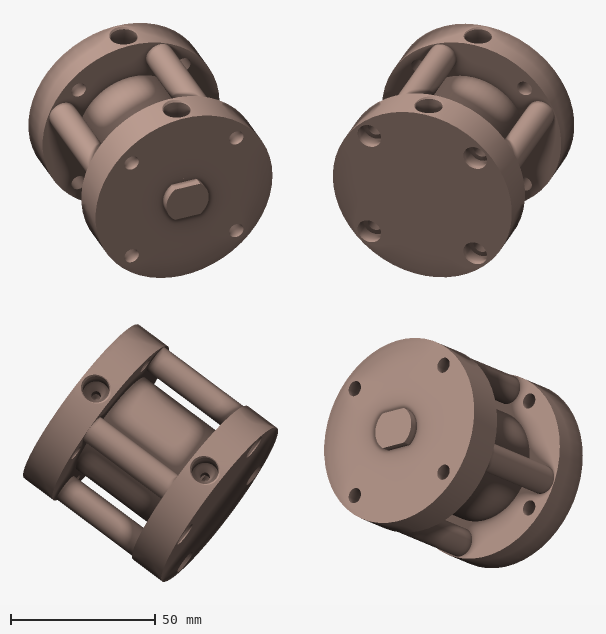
import cadquery as cq
import math


HEAD_DIAMETER = 66.55
HEAD_RADIUS = HEAD_DIAMETER / 2
HEAD_THICKNESS = 12.8
HEAD_GAP = 34.95
ROD_HEAD_X = HEAD_THICKNESS + HEAD_GAP
ROD_HEAD_END_X = ROD_HEAD_X + HEAD_THICKNESS

PITCH_RADIUS = 27.8
PITCH_COUNT = 4
PITCH_STEP_ANGLE = 360.0 / PITCH_COUNT
BOLT_START_ANGLE = 45.0
BOLT_HOLE_DIAMETER = 5.45
COUNTERBORE_DIAMETER = 8.8
COUNTERBORE_DEPTH = 5.6
POST_START_ANGLE = 67.5
POST_DIAMETER = 10.1

BARREL_DIAMETER = 39.7
BARREL_SEAT_DEPTH = 5.5

ROD_DIAMETER = 15.9
ROD_PROJECTION = 3.25
ROD_ACROSS_FLATS = 12.8

PORT_DIAMETER = 9.45
PORT_DEPTH = 8.0
PORT_CHAMFER = 0.65
PILOT_DIAMETER = 3.3
PILOT_DEPTH = 14.0
DRILL_POINT_ANGLE = 118.0


def x_cylinder(diameter, x_start, length, y=0.0, z=0.0):
    """Solid cylinder along +X."""
    plane = cq.Plane(origin=(x_start, y, z), xDir=(0, 1, 0), normal=(1, 0, 0))
    return cq.Workplane(plane).circle(diameter / 2).extrude(length)


def pitch_points(start_angle):
    """The (y, z) places spaced evenly round the pitch circle."""
    angles = [math.radians(start_angle + i * PITCH_STEP_ANGLE) for i in range(PITCH_COUNT)]
    return [(PITCH_RADIUS * math.cos(a), PITCH_RADIUS * math.sin(a)) for a in angles]


def drill_point_length(diameter):
    return diameter / 2 / math.tan(math.radians(DRILL_POINT_ANGLE / 2))


def port_cutter(x_center):
    """Chamfered port and its narrower pilot, both with drill points, as one turned solid."""
    port_radius = PORT_DIAMETER / 2
    pilot_radius = PILOT_DIAMETER / 2
    shoulder_z = HEAD_RADIUS - PORT_DEPTH
    shoulder_drop = drill_point_length(PORT_DIAMETER) - drill_point_length(PILOT_DIAMETER)
    pilot_end_z = HEAD_RADIUS - PILOT_DEPTH
    profile = (
        cq.Workplane("XZ")
        .moveTo(0, HEAD_RADIUS)
        .lineTo(port_radius + PORT_CHAMFER, HEAD_RADIUS)
        .lineTo(port_radius, HEAD_RADIUS - PORT_CHAMFER)
        .lineTo(port_radius, shoulder_z)
        .lineTo(pilot_radius, shoulder_z - shoulder_drop)
        .lineTo(pilot_radius, pilot_end_z)
        .lineTo(0, pilot_end_z - drill_point_length(PILOT_DIAMETER))
        .close()
    )
    return profile.revolve(360, (0, 0, 0), (0, 1, 0)).translate((x_center, 0, 0))


def make_head(x_start, seat_x):
    """Round head with bolt holes, a barrel seat and a port; seat_x is where the seat starts."""
    head = x_cylinder(HEAD_DIAMETER, x_start, HEAD_THICKNESS)
    head = head.cut(x_cylinder(BARREL_DIAMETER, seat_x, BARREL_SEAT_DEPTH))
    for y, z in pitch_points(BOLT_START_ANGLE):
        head = head.cut(x_cylinder(BOLT_HOLE_DIAMETER, x_start, HEAD_THICKNESS, y, z))
    return head.cut(port_cutter(x_start + HEAD_THICKNESS / 2))


def make_blind_head():
    """Closed head, counterbored on its outer face for the bolt heads."""
    head = make_head(0, HEAD_THICKNESS - BARREL_SEAT_DEPTH)
    for y, z in pitch_points(BOLT_START_ANGLE):
        head = head.cut(x_cylinder(COUNTERBORE_DIAMETER, 0, COUNTERBORE_DEPTH, y, z))
    return head


def make_rod_head():
    """Head with a central hole for the piston rod."""
    head = make_head(ROD_HEAD_X, ROD_HEAD_X)
    return head.cut(x_cylinder(ROD_DIAMETER, ROD_HEAD_X, HEAD_THICKNESS))


def make_barrel():
    """Cylinder body reaching to the bottom of both seats."""
    barrel_length = HEAD_GAP + 2 * BARREL_SEAT_DEPTH
    return x_cylinder(BARREL_DIAMETER, HEAD_THICKNESS - BARREL_SEAT_DEPTH, barrel_length)


def make_piston_rod():
    """Rod from the barrel end to outside the head, with flats on the part outside."""
    rod_start_x = ROD_HEAD_X + BARREL_SEAT_DEPTH
    shank = x_cylinder(ROD_DIAMETER, rod_start_x, ROD_HEAD_END_X - rod_start_x)
    flat_band = cq.Workplane("XY").box(
        ROD_PROJECTION, ROD_DIAMETER, ROD_ACROSS_FLATS, centered=(False, True, True)
    ).translate((ROD_HEAD_END_X, 0, 0))
    tip = x_cylinder(ROD_DIAMETER, ROD_HEAD_END_X, ROD_PROJECTION).intersect(flat_band)
    return shank.union(tip)


def make_post(y, z):
    """Spacer post butted between the inner faces of the heads."""
    return x_cylinder(POST_DIAMETER, HEAD_THICKNESS, HEAD_GAP, y, z)


blind_head = make_blind_head()
rod_head = make_rod_head()
barrel = make_barrel()
piston_rod = make_piston_rod()
posts = [make_post(y, z) for y, z in pitch_points(POST_START_ANGLE)]

result = cq.Compound.makeCompound([
    blind_head.val(),
    rod_head.val(),
    barrel.val(),
    piston_rod.val(),
    *[post.val() for post in posts],
])